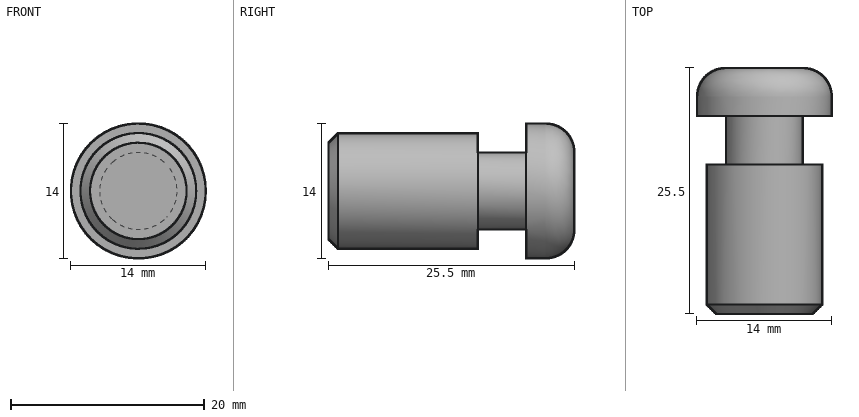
import cadquery as cq

head_diameter = 14.0
head_length = 5.0
head_fillet = 3.0
neck_diameter = 8.0
neck_length = 5.0
shank_diameter = 12.0
shank_length = 15.5
shank_chamfer = 1.0

neck_start = shank_length
head_start = neck_start + neck_length


def cylinder_along_y(diameter, start, length):
    """Cylinder on the Y axis running from Y = start towards +Y."""
    return (
        cq.Workplane("XZ", origin=(0, start, 0))
        .circle(diameter / 2)
        .extrude(-length)
    )


def make_shank():
    """Main cylinder with a chamfered free end."""
    shank = cylinder_along_y(shank_diameter, 0, shank_length)
    return shank.faces("<Y").edges().chamfer(shank_chamfer)


def make_neck():
    """Reduced diameter between the shank and the head."""
    return cylinder_along_y(neck_diameter, neck_start, neck_length)


def make_head():
    """Wide disc with a generously rounded outer rim."""
    head = cylinder_along_y(head_diameter, head_start, head_length)
    return head.faces(">Y").edges().fillet(head_fillet)


result = make_shank().union(make_neck()).union(make_head())